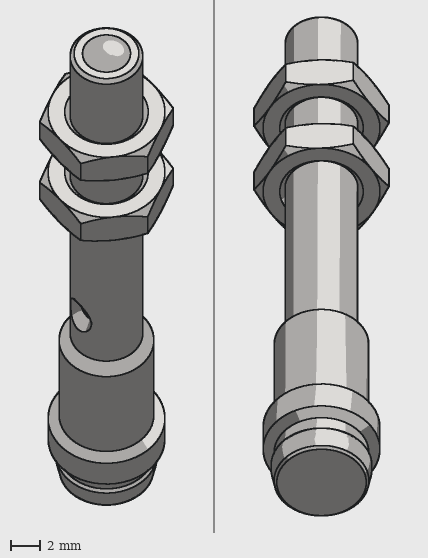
import cadquery as cq
import math

TOTAL_LENGTH = 45.75

ROD_DIA = 5.0
BODY_DIA = 6.5
COLLAR_DIA = 8.0
LIP_DIA = 6.9
DOME_DIA = 3.3

LIP_BOTTOM = 1.33
LIP_TOP = 1.75
COLLAR_BOTTOM = 3.0
COLLAR_TOP = 6.0
ROD_BOTTOM = 14.82
DOME_HEIGHT = 0.75
ROD_TOP = TOTAL_LENGTH - DOME_HEIGHT

ROD_CHAMFER = 0.27
COLLAR_BEVEL_HEIGHT = 0.35
END_CHAMFER = 0.2
END_DIA = 6.5

HOLE_HEIGHT = 18.55
HOLE_MOUTH_DIA = 2.85
HOLE_FLOOR_DIA = 1.35
HOLE_DEPTH = 0.82

NUT_ACROSS_FLATS = 8.0
NUT_THICKNESS = 2.5
NUT_COUNTERSINK_DIA = 5.7
NUT_CHAMFER_ANGLE = 30
LOWER_NUT_BOTTOM = 29.7
NUT_PITCH = 6.5
NUT_COUNT = 2


def make_sensor_body():
    """Revolve the stepped, dome-tipped body and cut its tapered hole."""
    rod_r = ROD_DIA / 2
    body_r = BODY_DIA / 2
    collar_r = COLLAR_DIA / 2
    lip_r = LIP_DIA / 2
    end_r = END_DIA / 2
    dome_r = DOME_DIA / 2
    dome_sphere_r = (dome_r**2 + DOME_HEIGHT**2) / (2 * DOME_HEIGHT)
    half_angle = math.asin(dome_r / dome_sphere_r) / 2
    dome_mid = (
        dome_sphere_r * math.sin(half_angle),
        TOTAL_LENGTH - dome_sphere_r * (1 - math.cos(half_angle)),
    )

    body = (
        cq.Workplane("XZ")
        .moveTo(0, 0)
        .lineTo(end_r - END_CHAMFER, 0)
        .lineTo(end_r, END_CHAMFER)
        .lineTo(lip_r, LIP_BOTTOM)
        .lineTo(lip_r, LIP_TOP)
        .lineTo(body_r, LIP_TOP + (lip_r - body_r))
        .lineTo(body_r, COLLAR_BOTTOM)
        .lineTo(collar_r, COLLAR_BOTTOM + COLLAR_BEVEL_HEIGHT)
        .lineTo(collar_r, COLLAR_TOP - COLLAR_BEVEL_HEIGHT)
        .lineTo(body_r, COLLAR_TOP)
        .lineTo(body_r, ROD_BOTTOM - (body_r - rod_r))
        .lineTo(rod_r, ROD_BOTTOM)
        .lineTo(rod_r, ROD_TOP - ROD_CHAMFER)
        .lineTo(rod_r - ROD_CHAMFER, ROD_TOP)
        .lineTo(dome_r, ROD_TOP)
        .threePointArc(dome_mid, (0, TOTAL_LENGTH))
        .close()
        .revolve(360, (0, 0), (0, 1))
    )
    hole = cq.Solid.makeCone(
        HOLE_MOUTH_DIA / 2,
        HOLE_FLOOR_DIA / 2,
        HOLE_DEPTH,
        pnt=cq.Vector(0, -rod_r, HOLE_HEIGHT),
        dir=cq.Vector(0, 1, 0),
    )
    return body.cut(cq.Workplane(hole))


def make_nut(bottom):
    """Hexagon nut with chamfered corners and a bore countersunk at both ends."""
    corner_r = NUT_ACROSS_FLATS / math.sqrt(3)
    face_r = NUT_ACROSS_FLATS / 2
    bore_r = ROD_DIA / 2
    countersink_r = NUT_COUNTERSINK_DIA / 2
    corner_drop = (corner_r - face_r) * math.tan(math.radians(NUT_CHAMFER_ANGLE))
    countersink_depth = countersink_r - bore_r

    hexagon = cq.Workplane("XY").polygon(6, 2 * corner_r).extrude(NUT_THICKNESS)
    envelope = (
        cq.Workplane("XZ")
        .polyline([
            (countersink_r, 0),
            (face_r, 0),
            (corner_r, corner_drop),
            (corner_r, NUT_THICKNESS - corner_drop),
            (face_r, NUT_THICKNESS),
            (countersink_r, NUT_THICKNESS),
            (bore_r, NUT_THICKNESS - countersink_depth),
            (bore_r, countersink_depth),
        ])
        .close()
        .revolve(360, (0, 0), (0, 1))
    )
    return hexagon.intersect(envelope).translate((0, 0, bottom))


sensor_body = make_sensor_body()
lock_nuts = [make_nut(LOWER_NUT_BOTTOM + i * NUT_PITCH) for i in range(NUT_COUNT)]

result = cq.Compound.makeCompound([sensor_body.val(), *[nut.val() for nut in lock_nuts]])